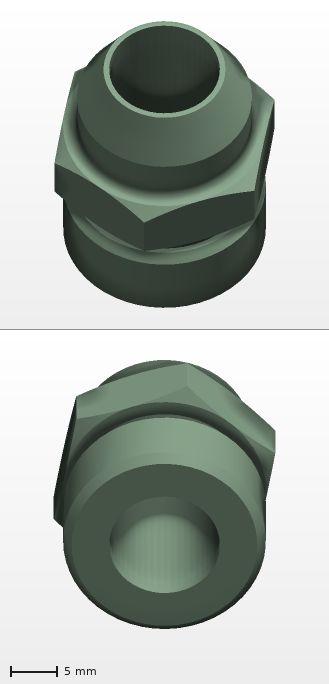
import cadquery as cq
import math

total_height = 29.0
bore_diameter = 12.0
neck_diameter = 19.0
collar_diameter = 22.0
hex_across_flats = collar_diameter
collar_chamfer = 0.93
fillet_radius = 1.0
corner_clearance = 0.87
cone_angle = 30.0
hex_chamfer_angle = 30.0

collar_top = 9.5
hex_bottom = 12.0
hex_top = 19.0
cone_bottom = 24.0

neck_radius = neck_diameter / 2
collar_radius = collar_diameter / 2
hex_corner_radius = hex_across_flats / 2 / math.cos(math.radians(30))
cone_height = total_height - cone_bottom
nose_radius = neck_radius - cone_height * math.tan(math.radians(cone_angle))


def make_turned_body():
    """Collar, neck, filleted shoulder and conical nose, revolved about Z."""
    fillet_mid = fillet_radius * (1 - math.sqrt(0.5))
    profile = (
        cq.Workplane("XZ")
        .lineTo(collar_radius - collar_chamfer, 0)
        .lineTo(collar_radius, collar_chamfer)
        .lineTo(collar_radius, collar_top - collar_chamfer)
        .lineTo(collar_radius - collar_chamfer, collar_top)
        .lineTo(neck_radius, collar_top)
        .lineTo(neck_radius, hex_top)
        .lineTo(neck_radius + fillet_radius, hex_top)
        .threePointArc(
            (neck_radius + fillet_mid, hex_top + fillet_mid),
            (neck_radius, hex_top + fillet_radius),
        )
        .lineTo(neck_radius, cone_bottom)
        .lineTo(nose_radius, total_height)
        .lineTo(0, total_height)
        .close()
    )
    return profile.revolve(360, (0, 0, 0), (0, 1, 0))


def make_hexagon():
    """Wrench hexagon with corners on Y, trimmed conically at both ends."""
    prism = (
        cq.Workplane("XY")
        .workplane(offset=hex_bottom)
        .polygon(6, 2 * hex_corner_radius)
        .extrude(hex_top - hex_bottom)
        .rotate((0, 0, 0), (0, 0, 1), 30)
    )
    flat_radius = hex_across_flats / 2
    trim_radius = hex_corner_radius + corner_clearance
    trim_drop = (trim_radius - flat_radius) * math.tan(math.radians(hex_chamfer_angle))
    envelope = (
        cq.Workplane("XZ")
        .moveTo(0, hex_bottom)
        .lineTo(flat_radius, hex_bottom)
        .lineTo(trim_radius, hex_bottom + trim_drop)
        .lineTo(trim_radius, hex_top - trim_drop)
        .lineTo(flat_radius, hex_top)
        .lineTo(0, hex_top)
        .close()
        .revolve(360, (0, 0, 0), (0, 1, 0))
    )
    return prism.intersect(envelope)


def make_bore():
    """Straight through bore."""
    return cq.Workplane("XY").circle(bore_diameter / 2).extrude(total_height)


result = make_turned_body().union(make_hexagon()).cut(make_bore())